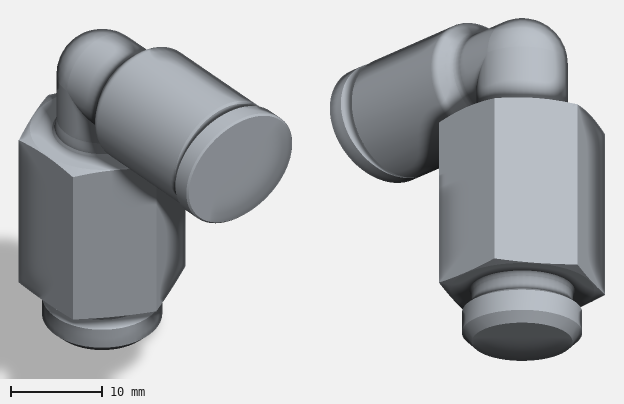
import cadquery as cq
import math

across_flats = 16.0
corner_radius = across_flats / math.sqrt(3)
hex_bottom = 6.05
hex_top = 25.6
crown_radius = 7.9
top_crown_drop = 0.45
bottom_crown_drop = 0.2

thread_radius = 6.57
tip_chamfer = 1.05
thread_shoulder = 3.45
relief_radius = 5.6
relief_bottom = 4.08
relief_top = 5.5
relief_flare = 0.15

elbow_radius = 5.0
foot_radius = 5.2
foot_top = 27.1
foot_bottom = 25.8
foot_rim_radius = 5.45

total_height = 39.6
overall_length = 32.83
socket_radius = 6.8
axis_height = total_height - socket_radius
flare_start = 4.67
bend_radius = 1.0
cone_angle = math.radians(45)
socket_end = 20.8
socket_chamfer = 0.25

ring_neck_radius = 4.8
ring_start = 21.55
ring_end = overall_length - corner_radius
ring_half_width = 7.52
ring_half_height = 6.5
ring_chamfer = 0.2


def turned_upright(profile):
    """Revolve (radius, height) points about the Z axis."""
    return cq.Workplane("XZ").polyline(profile).close().revolve(360, (0, 0, 0), (0, 1, 0))


def hex_body():
    prism = (
        cq.Workplane("XY")
        .workplane(offset=hex_bottom)
        .polygon(6, 2 * corner_radius)
        .extrude(hex_top - hex_bottom)
    )
    crown = turned_upright([
        (0, hex_bottom),
        (crown_radius, hex_bottom),
        (corner_radius, hex_bottom + bottom_crown_drop),
        (corner_radius, hex_top - top_crown_drop),
        (crown_radius, hex_top),
        (0, hex_top),
    ])
    return prism.intersect(crown)


def threaded_end():
    return turned_upright([
        (0, 0),
        (thread_radius - tip_chamfer, 0),
        (thread_radius, tip_chamfer),
        (thread_radius, thread_shoulder),
        (relief_radius, relief_bottom),
        (relief_radius, relief_top),
        (relief_radius + relief_flare, hex_bottom),
        (0, hex_bottom),
    ])


def elbow():
    upright = turned_upright([
        (0, hex_top),
        (foot_rim_radius, hex_top),
        (foot_radius, foot_bottom),
        (elbow_radius, foot_top),
        (elbow_radius, axis_height),
        (0, axis_height),
    ])
    corner = cq.Workplane("XY").sphere(elbow_radius).translate((0, 0, axis_height))
    return upright.union(corner)


def bend_offset(angle):
    """Axial and radial travel along a shoulder bend after turning by an angle."""
    return bend_radius * math.sin(angle), bend_radius * (1 - math.cos(angle))


def socket():
    """Level tube, conical shoulder, socket and ring neck as one turned shape."""
    half_run, half_rise = bend_offset(cone_angle / 2)
    run, rise = bend_offset(cone_angle)
    cone_rise = socket_radius - elbow_radius - 2 * rise
    cone_run = cone_rise / math.tan(cone_angle)
    socket_start = flare_start + 2 * run + cone_run
    turned = (
        cq.Workplane("XZ")
        .moveTo(0, 0)
        .lineTo(0, elbow_radius)
        .lineTo(flare_start, elbow_radius)
        .threePointArc(
            (flare_start + half_run, elbow_radius + half_rise),
            (flare_start + run, elbow_radius + rise),
        )
        .lineTo(socket_start - run, socket_radius - rise)
        .threePointArc(
            (socket_start - half_run, socket_radius - half_rise),
            (socket_start, socket_radius),
        )
        .lineTo(socket_end - socket_chamfer, socket_radius)
        .lineTo(socket_end, socket_radius - socket_chamfer)
        .lineTo(socket_end, ring_neck_radius)
        .lineTo(ring_start, ring_neck_radius)
        .lineTo(ring_start, 0)
        .close()
        .revolve(360, (0, 0, 0), (1, 0, 0))
    )
    return turned.translate((0, 0, axis_height))


def release_ring():
    return (
        cq.Workplane("YZ", origin=(ring_start, 0, axis_height))
        .ellipse(ring_half_width, ring_half_height)
        .extrude(ring_end - ring_start)
        .faces(">X")
        .chamfer(ring_chamfer)
    )


result = hex_body().union(threaded_end()).union(elbow()).union(socket()).union(release_ring())